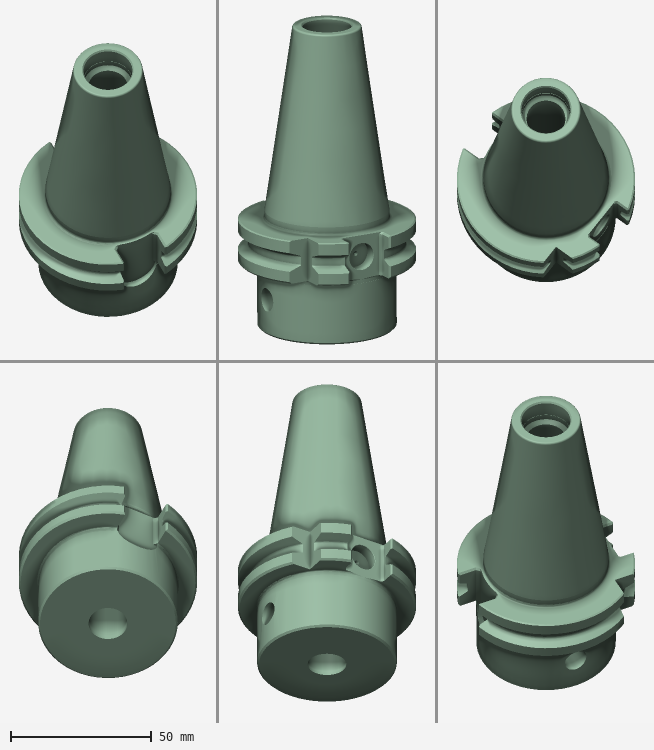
import cadquery as cq
import math

total_height = 111.2
gauge_height = 42.8
collar_bottom = 40.7
flange_top = 39.7
flange_bottom = 23.8
neck_bottom = 21.9
groove_height = (flange_top + flange_bottom) / 2

body_radius = 24.8
body_chamfer = 0.7
neck_radius = 24.7
neck_fillet = 0.6
taper_base_radius = 22.2
taper_per_height = 7 / 48
taper_tip_radius = taper_base_radius - (total_height - gauge_height) * taper_per_height
tip_fillet = 0.8
collar_fillet = collar_bottom - flange_top

thread_bore_radius = 6.9
pilot_radius = 8.7
pilot_mouth_radius = 9.1
pilot_mouth_depth = 0.6
pilot_depth = 6.2
relief_radius = 8.6
relief_depth = 8.3
seat_depth = 9.3

flange_radius = 63.4 / 2
lower_rim_chamfer = 0.7
upper_rim_chamfer_width = 0.6
upper_rim_chamfer_height = 0.3
groove_floor_radius = 28.0
groove_floor_height = 3.6
groove_rim_height = 6.9
groove_fillet = 0.7

slot_half_width = 8.0
shallow_slot_floor = 24.7
deep_slot_floor = 22.5
shallow_slot_corner = 0.9
deep_slot_corner = 1.3
slot_edge_chamfer = 0.7

notch_edge = 18.4

plug_radius = 4.9
plug_hole_chamfer = 0.1
plug_hole_depth = 6.6
plug_recess = 4.3
pit_radius = 0.9
pit_depth = 0.9
screw_hole_radius = 4.2
screw_hole_depth = 11.1
screw_hole_height = 13.0


def shank():
    """Turned body, neck, collar and taper, without the flange."""
    profile = (
        cq.Workplane("XZ")
        .lineTo(body_radius - body_chamfer, 0)
        .lineTo(body_radius, body_chamfer)
        .lineTo(body_radius, neck_bottom)
        .lineTo(neck_radius, neck_bottom)
        .lineTo(neck_radius, flange_bottom - neck_fillet)
        .tangentArcPoint((neck_radius + neck_fillet, flange_bottom), relative=False)
        .lineTo(taper_base_radius + collar_fillet, flange_top)
        .radiusArc((taper_base_radius, collar_bottom), collar_fillet)
        .lineTo(taper_base_radius, gauge_height)
        .lineTo(taper_tip_radius, total_height)
        .lineTo(0, total_height)
        .close()
    )
    solid = profile.revolve(360, (0, 0, 0), (0, 1, 0))
    return solid.faces(">Z").edges().fillet(tip_fillet)


def flange_turning():
    """Full round flange with its chamfered rims and V groove."""
    groove_floor_top = groove_height + groove_floor_height / 2
    groove_floor_bottom = groove_height - groove_floor_height / 2
    rim_top = groove_height + groove_rim_height / 2
    rim_bottom = groove_height - groove_rim_height / 2
    turning = (
        cq.Workplane("XZ")
        .moveTo(0, flange_bottom)
        .lineTo(flange_radius - lower_rim_chamfer, flange_bottom)
        .lineTo(flange_radius, flange_bottom + lower_rim_chamfer)
        .lineTo(flange_radius, rim_bottom)
        .lineTo(groove_floor_radius, groove_floor_bottom)
        .lineTo(groove_floor_radius, groove_floor_top)
        .lineTo(flange_radius, rim_top)
        .lineTo(flange_radius, flange_top - upper_rim_chamfer_height)
        .lineTo(flange_radius - upper_rim_chamfer_width, flange_top)
        .lineTo(0, flange_top)
        .close()
        .revolve(360, (0, 0, 0), (0, 1, 0))
    )
    corner = cq.selectors.RadiusNthSelector(0)
    return turning.edges("%CIRCLE").edges(corner).fillet(groove_fillet)


def slot_cutter(side, floor, corner):
    """Driving slot through the flange; side is -1 for -X and +1 for +X."""
    outside = flange_radius + 1.1
    cut_bottom = flange_bottom - neck_fillet
    return (
        cq.Workplane("XY", origin=(0, 0, cut_bottom))
        .moveTo(side * outside, -slot_half_width)
        .lineTo(side * (floor + corner), -slot_half_width)
        .lineTo(side * floor, -slot_half_width + corner)
        .lineTo(side * floor, slot_half_width - corner)
        .lineTo(side * (floor + corner), slot_half_width)
        .lineTo(side * outside, slot_half_width)
        .close()
        .extrude(flange_top - cut_bottom)
    )


def cut_slots(solid):
    """Cut both driving slots."""
    shallow_slot = slot_cutter(-1, shallow_slot_floor, shallow_slot_corner)
    deep_slot = slot_cutter(1, deep_slot_floor, deep_slot_corner)
    return solid.cut(shallow_slot).cut(deep_slot)


def flange():
    """Flange with both driving slots and the corner notch."""
    disc = (
        cq.Workplane("XY", origin=(0, 0, flange_bottom))
        .circle(flange_radius)
        .extrude(flange_top - flange_bottom)
    )
    blank = cut_slots(disc)
    wall_top_edges = blank.faces(">Z").edges("not(%CIRCLE or |Y)").vals()
    slot_mouth_edges = [
        edge for edge in blank.edges("|Z").vals()
        if abs(abs(edge.Center().y) - slot_half_width) < slot_edge_chamfer / 2
        and math.hypot(edge.Center().x, edge.Center().y) > groove_floor_radius
    ]
    blank = blank.newObject(wall_top_edges + slot_mouth_edges).chamfer(slot_edge_chamfer)

    notch = (
        cq.Workplane("XY", origin=(-notch_edge, notch_edge, flange_bottom))
        .rect(-flange_radius, flange_radius, centered=False)
        .extrude(flange_top - flange_bottom)
    )
    return flange_turning().intersect(blank).cut(notch)


def deep_slot_runout():
    """Half-round end of the deep slot, cut into the body below the flange."""
    return (
        cq.Workplane("YZ", origin=(deep_slot_floor, 0, 0))
        .moveTo(-slot_half_width, flange_bottom)
        .threePointArc((0, flange_bottom - slot_half_width), (slot_half_width, flange_bottom))
        .close()
        .extrude(flange_radius - deep_slot_floor)
    )


def central_bore():
    """Through bore with its conical seat, relief and pilot at the taper end."""
    return (
        cq.Workplane("XZ")
        .lineTo(thread_bore_radius, 0)
        .lineTo(thread_bore_radius, total_height - seat_depth)
        .lineTo(relief_radius, total_height - relief_depth)
        .lineTo(relief_radius, total_height - pilot_depth)
        .lineTo(pilot_radius, total_height - pilot_depth)
        .lineTo(pilot_radius, total_height - pilot_mouth_depth)
        .lineTo(pilot_mouth_radius, total_height)
        .lineTo(0, total_height)
        .close()
        .revolve(360, (0, 0, 0), (0, 1, 0))
    )


def plug_hole_mouth():
    """Chamfer cone at the mouth of the plug hole."""
    mouth = cq.Solid.makeCone(
        plug_radius + plug_hole_chamfer,
        plug_radius,
        plug_hole_chamfer,
        cq.Vector(-shallow_slot_floor, 0, groove_height),
        cq.Vector(1, 0, 0),
    )
    return cq.Workplane(obj=mouth)


def make_holder():
    """Tool holder: shank and flange with all slots, bores and holes."""
    solid = cut_slots(shank().union(flange()))
    plug_hole = (
        cq.Workplane("YZ", origin=(-shallow_slot_floor, 0, groove_height))
        .circle(plug_radius)
        .extrude(plug_hole_depth)
        .union(plug_hole_mouth())
    )
    screw_hole = (
        cq.Workplane("XZ", origin=(0, flange_radius, screw_hole_height))
        .circle(screw_hole_radius)
        .extrude(flange_radius - body_radius + screw_hole_depth)
    )
    return solid.cut(deep_slot_runout()).cut(central_bore()).cut(plug_hole).cut(screw_hole)


def make_plug():
    """Disc at the bottom of the plug hole, with a conical pit in its face."""
    face = -shallow_slot_floor + plug_recess
    disc = (
        cq.Workplane("YZ", origin=(face, 0, groove_height))
        .circle(plug_radius)
        .extrude(plug_hole_depth - plug_recess)
    )
    pit = cq.Solid.makeCone(pit_radius, 0, pit_depth, cq.Vector(face, 0, groove_height), cq.Vector(1, 0, 0))
    return disc.cut(cq.Workplane(obj=pit))


holder = make_holder()
plug = make_plug()
result = cq.Compound.makeCompound([holder.val(), plug.val()])